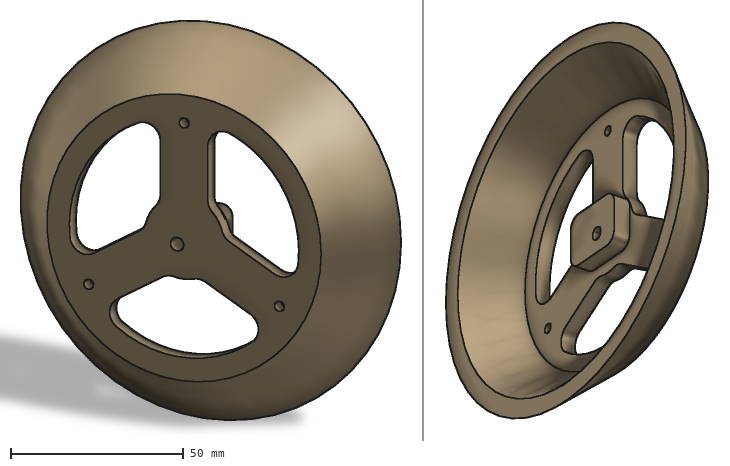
import cadquery as cq

rim_radius = 60.0
face_radius = 43.2
depth = 20.0
wall = 6.0
web_thickness = 5.0

spoke_count = 3
spoke_width = 15.0
hub_radius = 12.5
window_radius = 36.1
window_fillet = 5.0

mount_hole_diameter = 3.0
mount_circle_radius = 34.7
shaft_hole_diameter = 4.1
shaft_offset = 2.2

block_width = 21.8
block_height = 17.0
block_back = 10.5
block_corner = 4.0


def front_plane(y=0):
    """Plane with local x along X, local y along Z and normal along -Y."""
    return cq.Workplane(cq.Plane(origin=(0, y, 0), xDir=(1, 0, 0), normal=(0, -1, 0)))


def cylinder(radius, length):
    return front_plane().circle(radius).extrude(-length)


def make_rim():
    slope = (rim_radius - face_radius) / depth
    inner_radius_at_web = face_radius + slope * web_thickness - wall
    profile = [
        (0, 0),
        (face_radius, 0),
        (rim_radius, depth),
        (rim_radius - wall, depth),
        (inner_radius_at_web, web_thickness),
        (0, web_thickness),
    ]
    return cq.Workplane("XY").polyline(profile).close().revolve(360, (0, 0, 0), (0, 1, 0))


def make_windows():
    """Openings left between the spokes, the hub and the outer ring."""
    windows = cylinder(window_radius, web_thickness).cut(cylinder(hub_radius, web_thickness))
    for index in range(spoke_count):
        spoke = (
            front_plane()
            .center(0, window_radius / 2)
            .rect(spoke_width, window_radius)
            .extrude(-web_thickness)
            .rotate((0, 0, 0), (0, 1, 0), index * 360 / spoke_count)
        )
        windows = windows.cut(spoke)
    return windows.edges("|Y").fillet(window_fillet)


def make_block():
    return (
        front_plane(web_thickness)
        .rect(block_width, block_height)
        .extrude(web_thickness - block_back)
        .edges("|Y")
        .fillet(block_corner)
    )


def make_holes():
    mounts = (
        front_plane()
        .polarArray(mount_circle_radius, 90, 360, spoke_count)
        .circle(mount_hole_diameter / 2)
        .extrude(-web_thickness)
    )
    shaft = (
        front_plane()
        .center(-shaft_offset, -shaft_offset)
        .circle(shaft_hole_diameter / 2)
        .extrude(-block_back)
    )
    return mounts.union(shaft)


result = make_rim().cut(make_windows()).union(make_block()).cut(make_holes())